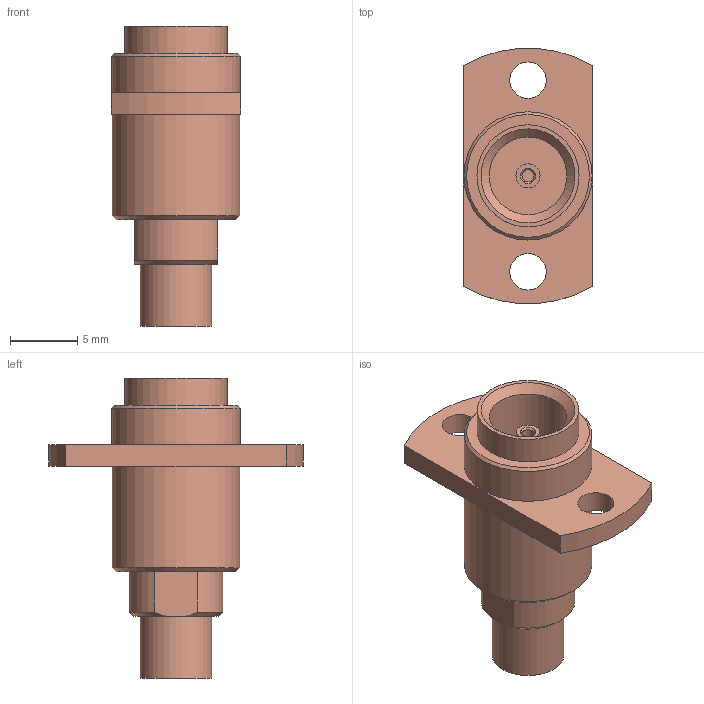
import cadquery as cq
import math

nut_bottom_z = 4.58
barrel_bottom_z = 7.88
plate_bottom_z = 15.7
plate_top_z = 17.3
collar_top_z = 20.2
nose_top_z = 22.23

tail_diameter = 5.32
nut_diameter = 6.95
nut_across_flats = 6.2
nut_chamfer = 0.3
barrel_diameter = 9.45
barrel_chamfer = 0.3
collar_diameter = 9.5
collar_chamfer = 0.2
nose_diameter = 7.57

plate_width = 9.6
plate_length = 18.95
mount_hole_diameter = 2.7
mount_hole_spacing = 14.2

socket_diameter = 5.76
socket_floor_z = plate_top_z
lead_in_depth = 0.6
contact_diameter = 1.78
contact_top_z = nose_top_z - 2.0
contact_bore_diameter = 0.9
contact_bore_depth = 2.0
contact_bore_chamfer = 0.12


def cylinder(diameter, bottom_z, top_z):
    """Round section on the Z axis between two levels."""
    return cq.Workplane("XY").workplane(offset=bottom_z).circle(diameter / 2).extrude(top_z - bottom_z)


def make_nut():
    """Chamfered round nut with two wrench flats facing -X and +X."""
    nut = cylinder(nut_diameter, nut_bottom_z, barrel_bottom_z)
    nut = nut.faces("<Z").chamfer(nut_chamfer)
    flats = (
        cq.Workplane("XY")
        .workplane(offset=nut_bottom_z)
        .rect(nut_across_flats, nut_diameter)
        .extrude(barrel_bottom_z - nut_bottom_z)
    )
    return nut.intersect(flats)


def make_barrel():
    """Main barrel below the plate, chamfered at its lower end."""
    barrel = cylinder(barrel_diameter, barrel_bottom_z, plate_top_z)
    return barrel.faces("<Z").chamfer(barrel_chamfer)


def make_collar():
    """Slightly wider collar above the plate, chamfered at its upper end."""
    collar = cylinder(collar_diameter, plate_top_z, collar_top_z)
    return collar.faces(">Z").chamfer(collar_chamfer)


def make_plate():
    """Flange with straight sides, ends rounded about the connector axis, and two holes."""
    half_width = plate_width / 2
    end_radius = plate_length / 2
    corner_y = math.sqrt(end_radius**2 - half_width**2)
    return (
        cq.Workplane("XY")
        .workplane(offset=plate_bottom_z)
        .moveTo(half_width, -corner_y)
        .lineTo(half_width, corner_y)
        .threePointArc((0, end_radius), (-half_width, corner_y))
        .lineTo(-half_width, -corner_y)
        .threePointArc((0, -end_radius), (half_width, -corner_y))
        .close()
        .extrude(plate_top_z - plate_bottom_z)
        .cut(make_mount_holes())
    )


def make_mount_holes():
    """Two through-hole cutters, one on each side of the collar along Y."""
    return (
        cq.Workplane("XY")
        .workplane(offset=plate_bottom_z)
        .pushPoints([(0, -mount_hole_spacing / 2), (0, mount_hole_spacing / 2)])
        .circle(mount_hole_diameter / 2)
        .extrude(plate_top_z - plate_bottom_z)
    )


def make_flared_hole(diameter, bottom_z, top_z, flare):
    """Cutter for a blind hole whose mouth opens out at 45 degrees."""
    radius = diameter / 2
    return (
        cq.Workplane("XZ")
        .moveTo(0, bottom_z)
        .lineTo(radius, bottom_z)
        .lineTo(radius, top_z - flare)
        .lineTo(radius + flare, top_z)
        .lineTo(0, top_z)
        .close()
        .revolve(360, (0, 0, 0), (0, 1, 0))
    )


def make_contact():
    """Centre contact standing on the socket floor, bored from the top."""
    contact_bore_floor_z = contact_top_z - contact_bore_depth
    bore = make_flared_hole(
        contact_bore_diameter, contact_bore_floor_z, contact_top_z, contact_bore_chamfer
    )
    return cylinder(contact_diameter, socket_floor_z, contact_top_z).cut(bore)


tail = cylinder(tail_diameter, 0, nut_bottom_z)
nose = cylinder(nose_diameter, collar_top_z, nose_top_z)
socket = make_flared_hole(socket_diameter, socket_floor_z, nose_top_z, lead_in_depth)

shell = tail.union(make_nut()).union(make_barrel()).union(make_plate())
shell = shell.union(make_collar()).union(nose)
result = shell.cut(socket).union(make_contact())